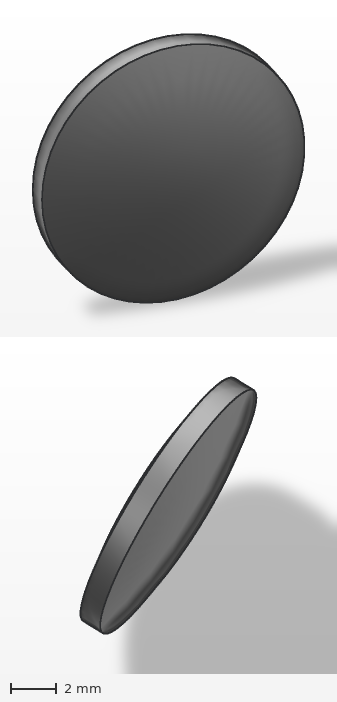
import cadquery as cq

diameter = 12.5
center_thickness = 2.6
edge_thickness = 1.03

radius = diameter / 2
half_center = center_thickness / 2
half_edge = edge_thickness / 2
sag = half_center - half_edge
sphere_radius = (radius**2 + sag**2) / (2 * sag)


def cap_x(distance_from_axis):
    """X position of the +X spherical face at a given distance from the axis."""
    sphere_center_x = half_center - sphere_radius
    return sphere_center_x + (sphere_radius**2 - distance_from_axis**2) ** 0.5


def make_lens():
    """Revolve the half section, lying in the XY plane, about the X axis."""
    mid_radius = radius / 2
    mid_x = cap_x(mid_radius)
    section = (
        cq.Workplane("XY")
        .moveTo(-half_center, 0)
        .threePointArc((-mid_x, -mid_radius), (-half_edge, -radius))
        .lineTo(half_edge, -radius)
        .threePointArc((mid_x, -mid_radius), (half_center, 0))
        .close()
    )
    return section.revolve(360, (0, 0, 0), (1, 0, 0))


result = make_lens()